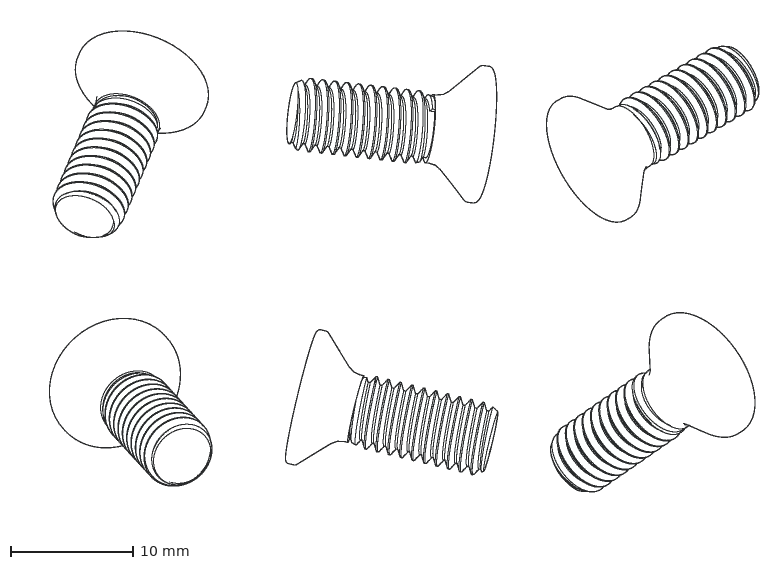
import cadquery as cq
import math

length = 16.0
head_radius = 5.65
head_edge_fillet = 0.3
cone_start = 0.86
neck_radius = 2.82
neck_fillet = 1.5
neck_end = 4.6

pitch = 1.0
major_radius = 3 * pitch
root_radius = 2.4
crest_width = pitch / 8
flank_angle = 30.0
root_overlap = 0.05
ridge_start = 4.62
turns = 12

runin_radius = 2.65
runin_slope = 3.2
tip_radius = 2.51
tip_chamfer_angle = 30.0
envelope_clearance = 0.16


def revolve_profile(points):
    """Revolve (radius, depth) points about the screw axis."""
    outline = [(radius, -depth) for radius, depth in points]
    return cq.Workplane("XY").polyline(outline).close().revolve(360, (0, 0, 0), (0, 1, 0))


def fillet_rim(body, depth, radius):
    """Fillet the circular edge that lies at the given depth."""
    reach = 2 * head_radius
    tolerance = 0.02
    slab = cq.selectors.BoxSelector(
        (-reach, -depth - tolerance, -reach),
        (reach, -depth + tolerance, reach),
    )
    return body.edges("%CIRCLE").edges(slab).fillet(radius)


def make_head():
    cone_end = cone_start + head_radius - neck_radius
    head = revolve_profile([
        (0, 0),
        (head_radius, 0),
        (head_radius, cone_start),
        (neck_radius, cone_end),
        (neck_radius, neck_end),
        (0, neck_end),
    ])
    head = fillet_rim(head, 0, head_edge_fillet)
    head = fillet_rim(head, cone_start, head_edge_fillet)
    return fillet_rim(head, cone_end, neck_fillet)


def make_shank():
    """Core with a right-hand helical ridge, trimmed by the run-in cone and the tip chamfer."""
    base_radius = root_radius - root_overlap
    flank_run = (major_radius - base_radius) * math.tan(math.radians(flank_angle))
    half_crest = crest_width / 2
    half_base = half_crest + flank_run
    helix = cq.Wire.makeHelix(pitch, turns * pitch, root_radius, cq.Vector(0, 0, ridge_start))
    ridge = (
        cq.Workplane("XZ")
        .polyline([
            (base_radius, ridge_start - half_base),
            (major_radius, ridge_start - half_crest),
            (major_radius, ridge_start + half_crest),
            (base_radius, ridge_start + half_base),
        ])
        .close()
        .sweep(cq.Workplane(helix), isFrenet=True)
        .rotate((0, 0, 0), (1, 0, 0), 90)
    )
    outer_radius = major_radius + envelope_clearance
    runin_end = neck_end + (outer_radius - runin_radius) * runin_slope
    chamfer_start = length - (outer_radius - tip_radius) / math.tan(math.radians(tip_chamfer_angle))
    envelope = revolve_profile([
        (0, neck_end),
        (runin_radius, neck_end),
        (outer_radius, runin_end),
        (outer_radius, chamfer_start),
        (tip_radius, length),
        (0, length),
    ])
    blank_end = length + 2 * pitch
    core = revolve_profile([(0, 0), (root_radius, 0), (root_radius, blank_end), (0, blank_end)])
    return core.union(ridge).intersect(envelope)


result = make_shank().union(make_head())